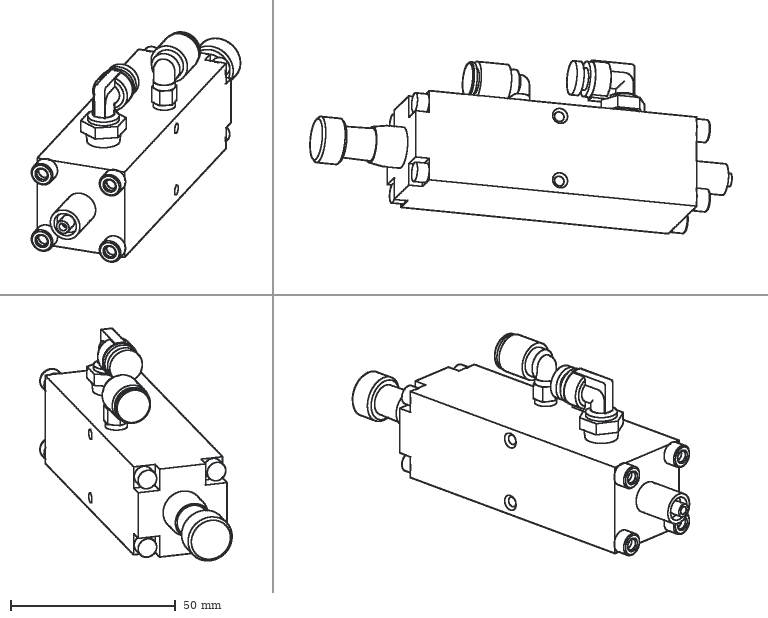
import cadquery as cq
import math


body_width = 28.5
body_length = 89.7
body_half = body_width / 2

screw_offset = 11.1
front_head_diameter = 7.0
front_head_length = 4.4
front_head_chamfer = 0.4
socket_diameter = 3.4
socket_mouth_chamfer = 0.4
socket_depth = 2.0
notch_size = 6.9
notch_depth = 4.4
rear_head_diameter = 6.0
rear_head_length = 3.7

cross_hole_diameter = 3.0
cross_hole_sink_diameter = 4.8
cross_hole_sink_angle = 90
cross_hole_y = 43.6
cross_hole_z = 10.3

sleeve_diameter = 9.6
sleeve_length = 13.2
sleeve_bore_diameter = 7.3
sleeve_bore_depth = 2.6
pin_diameter = 4.1
pin_end = 15.2
pin_bore_diameter = 2.4
pin_bore_depth = 2.6

plunger_base_diameter = 12.5
plunger_base_end = body_length + 5.3
plunger_cone_diameter = 11.1
plunger_cone_end = plunger_base_end + 4.4
stem_root_diameter = 10.0
stem_tip_diameter = 9.5
knob_diameter = 14.1
knob_length = 7.8
knob_chamfer = 0.8
overall_length = 132
knob_end = overall_length - pin_end

front_fitting_y = 19.0
front_port_z = 27.7
fin_top = front_port_z + 5.7
front_tube_diameter = 6.5
front_base_diameter = 10.0
front_base_top_diameter = 10.8
front_hex_flats = 12.0
front_hex_bottom = body_half + 3.5
front_hex_top = front_hex_bottom + 3.7
front_collar_diameter = 9.6
front_collar_tip_diameter = 6.9
front_collar_straight = 1.2
front_collar_height = 2.0
front_port_diameter = 11.2
front_port_start_diameter = 9.2
front_port_chamfer = 0.4
front_port_start = front_fitting_y + 5.1
front_lip_diameter = 10.8
front_lip_start = front_port_start + 5.3
front_lip_end = front_lip_start + 1.6
front_ring_neck_diameter = 6.9
front_ring_diameter = 10.4
front_ring_start = front_lip_end + 2.0
front_ring_end = front_ring_start + 2.2
fin_width = 3.4
fin_edge_radius = 0.9

rear_fitting_x = 7.9
rear_fitting_y = 49.6
rear_port_z = 26.4
rear_tube_diameter = 6.5
rear_neck_diameter = 6.7
rear_hex_flats = 6.7
rear_hex_bottom = body_half + 1.6
rear_hex_top = rear_hex_bottom + 4.9
rear_neck_top = rear_hex_top + 1.8
rear_collar_diameter = 9.2
rear_collar_tip = rear_fitting_y + 0.4
rear_collar_start = rear_fitting_y + 1.3
rear_port_diameter = 11.9
rear_port_start = rear_collar_start + 2.9
rear_port_end = rear_port_start + 9.6
rear_ring_neck_diameter = 7.7
rear_ring_diameter = 11.2
rear_ring_start = rear_port_end + 1.2
rear_ring_end = rear_ring_start + 1.3
rear_ring_chamfer = 0.4


def rod(diameter, start, end, x=0.0, z=0.0):
    """Cylinder along Y between two Y positions."""
    circle = cq.Workplane("XZ", origin=(x, start, z)).circle(diameter / 2)
    return circle.extrude(start - end)


def post(diameter, bottom, top, x, y):
    """Cylinder along Z between two heights."""
    return cq.Workplane("XY", origin=(x, y, bottom)).circle(diameter / 2).extrude(top - bottom)


def turned(profile, x=0.0, z=0.0):
    """Solid of revolution about a line along Y; profile lists (diameter, Y) from one end to the other."""
    points = [(0, profile[0][1])]
    points += [(diameter / 2, y) for diameter, y in profile]
    points.append((0, profile[-1][1]))
    outline = cq.Workplane("XY").polyline(points).close()
    return outline.revolve(360, (0, 0, 0), (0, 1, 0)).translate((x, 0, z))


def hexagon(flats, bottom, top, x, y):
    """Hexagonal prism along Z with its flats facing -X and +X."""
    sides = 6
    corners = flats / math.cos(math.pi / sides)
    half_side_angle = 180 / sides
    prism = cq.Workplane("XY").polygon(sides, corners).extrude(top - bottom)
    return prism.rotate((0, 0, 0), (0, 0, 1), half_side_angle).translate((x, y, bottom))


def elbow(diameter, x, y, z, bottom, port_end):
    """Bent tube: a post up to a ball corner, then a rod along +Y."""
    ball = cq.Workplane("XY").sphere(diameter / 2).translate((x, y, z))
    return post(diameter, bottom, z, x, y).union(ball).union(rod(diameter, y, port_end, x, z))


def make_body():
    body = cq.Workplane("XZ").rect(body_width, body_width).extrude(-body_length)
    for side_z in (-1, 1):
        for side_x in (-1, 1):
            notch = cq.Workplane("XY").box(notch_size, notch_depth, notch_size)
            body = body.cut(notch.translate((
                side_x * (body_half - notch_size / 2),
                body_length - notch_depth / 2,
                side_z * (body_half - notch_size / 2),
            )))
    return (
        body.faces("<X").workplane(origin=(-body_half, cross_hole_y, 0))
        .pushPoints([(0, -cross_hole_z), (0, cross_hole_z)])
        .cskHole(cross_hole_diameter, cross_hole_sink_diameter, cross_hole_sink_angle)
    )


def add_screws(part):
    floor = body_length - notch_depth
    for x in (-screw_offset, screw_offset):
        for z in (-screw_offset, screw_offset):
            front_head = rod(front_head_diameter, -front_head_length, 0, x, z)
            front_head = front_head.faces("<Y").edges().chamfer(front_head_chamfer)
            socket = rod(socket_diameter, -front_head_length, socket_depth - front_head_length, x, z)
            front_head = front_head.cut(socket)
            front_head = front_head.faces("<Y").edges(cq.selectors.RadiusNthSelector(0))
            front_head = front_head.chamfer(socket_mouth_chamfer)
            part = part.union(front_head)
            part = part.union(rod(rear_head_diameter, floor, floor + rear_head_length, x, z))
    return part


def make_sleeve():
    sleeve = rod(sleeve_diameter, -sleeve_length, 0)
    sleeve = sleeve.cut(rod(sleeve_bore_diameter, -sleeve_length, sleeve_bore_depth - sleeve_length))
    pin = rod(pin_diameter, -pin_end, 0)
    pin_bore = rod(pin_bore_diameter, -pin_end, pin_bore_depth - pin_end)
    return sleeve.union(pin).cut(pin_bore)


def make_plunger():
    knob_start = knob_end - knob_length
    knob_tip_diameter = knob_diameter - 2 * knob_chamfer
    return turned([
        (plunger_base_diameter, body_length),
        (plunger_base_diameter, plunger_base_end),
        (plunger_cone_diameter, plunger_cone_end),
        (stem_root_diameter, plunger_cone_end),
        (stem_tip_diameter, knob_start),
        (knob_tip_diameter, knob_start),
        (knob_diameter, knob_start + knob_chamfer),
        (knob_diameter, knob_end - knob_chamfer),
        (knob_tip_diameter, knob_end),
    ])


def make_front_fitting():
    x = 0.0
    y = front_fitting_y
    collar_top = front_hex_top + front_collar_height

    port = turned([
        (front_port_start_diameter, front_port_start),
        (front_port_diameter, front_port_start + front_port_chamfer),
        (front_port_diameter, front_lip_start),
        (front_lip_diameter, front_lip_start),
        (front_lip_diameter, front_lip_end),
        (front_ring_neck_diameter, front_lip_end),
        (front_ring_neck_diameter, front_ring_start),
        (front_ring_diameter, front_ring_start),
        (front_ring_diameter, front_ring_end),
    ], x, front_port_z)
    collar = post(front_collar_diameter, front_hex_top, collar_top, x, y)
    collar = collar.faces(">Z").edges().chamfer(
        front_collar_height - front_collar_straight,
        (front_collar_diameter - front_collar_tip_diameter) / 2,
    )
    fin_start = y - front_tube_diameter / 2
    fin = cq.Workplane("XY").box(
        fin_width, front_lip_start - fin_start, fin_top - front_hex_top, centered=(True, False, False)
    ).translate((x, fin_start, front_hex_top))
    fin = fin.edges("<Y and >Z").fillet(fin_edge_radius)
    return (
        cq.Workplane("XY", origin=(x, y, body_half)).circle(front_base_diameter / 2)
        .workplane(offset=front_hex_bottom - body_half).circle(front_base_top_diameter / 2).loft()
        .union(hexagon(front_hex_flats, front_hex_bottom, front_hex_top, x, y))
        .union(collar)
        .union(elbow(front_tube_diameter, x, y, front_port_z, front_hex_top, front_port_start))
        .union(fin)
        .union(port)
    )


def make_rear_fitting():
    x = rear_fitting_x
    y = rear_fitting_y
    port = turned([
        (rear_tube_diameter, rear_collar_tip),
        (rear_collar_diameter, rear_collar_start),
        (rear_collar_diameter, rear_port_start),
        (rear_port_diameter, rear_port_start),
        (rear_port_diameter, rear_port_end),
        (rear_ring_neck_diameter, rear_port_end),
        (rear_ring_neck_diameter, rear_ring_start),
        (rear_ring_diameter, rear_ring_start),
        (rear_ring_diameter, rear_ring_end - rear_ring_chamfer),
        (rear_ring_diameter - 2 * rear_ring_chamfer, rear_ring_end),
    ], x, rear_port_z)
    return (
        elbow(rear_tube_diameter, x, y, rear_port_z, body_half, rear_port_start)
        .union(post(rear_neck_diameter, body_half, rear_neck_top, x, y))
        .union(hexagon(rear_hex_flats, rear_hex_bottom, rear_hex_top, x, y))
        .union(port)
    )


result = add_screws(make_body())
result = result.union(make_sleeve()).union(make_plunger())
result = result.union(make_front_fitting()).union(make_rear_fitting())